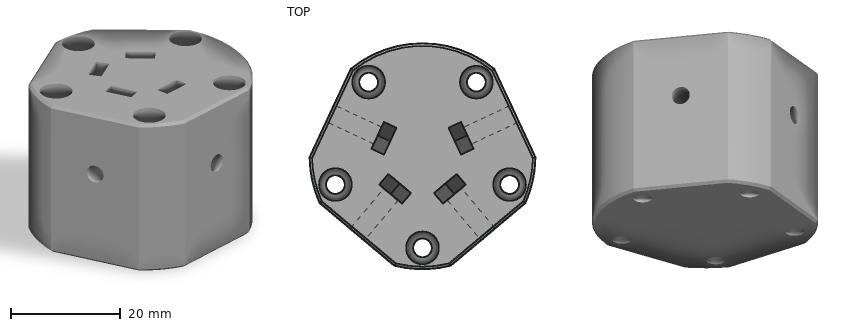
import cadquery as cq
import math

body_radius = 20.65
body_height = 30.0
edge_chamfer = 0.5
flat_distance = 18.63
flat_angles = (25, 155, -50, -130)

bolt_count = 5
bolt_circle_radius = 16.73
first_bolt_angle = -90
bolt_hole_diameter = 3.4
counterbore_diameter = 6.0
counterbore_depth = 3.0

screw_diameter = 3.4
screw_height = 18.0
nut_width = 5.4
nut_thickness = 2.5
nut_distance = 7.75
nut_floor_slope = 30


def make_body():
    """Round block cut by the flats, chamfered around both ends."""
    body = cq.Workplane("XY").circle(body_radius).extrude(body_height)
    for angle in flat_angles:
        waste = (
            cq.Workplane("XY")
            .box(body_radius, 2 * body_radius, body_height, centered=(False, True, False))
            .translate((flat_distance, 0, 0))
            .rotate((0, 0, 0), (0, 0, 1), angle)
        )
        body = body.cut(waste)
    return body.faces("<Z or >Z").chamfer(edge_chamfer)


def drill_bolt_holes(body):
    """Through holes, counterbored from the top face."""
    return (
        body.faces(">Z")
        .workplane(origin=(0, 0, body_height))
        .polarArray(bolt_circle_radius, first_bolt_angle, 360, bolt_count)
        .cboreHole(bolt_hole_diameter, counterbore_diameter, counterbore_depth)
    )


def make_nut_trap(angle):
    """Open-topped nut slot with a V floor, and the radial screw hole that meets it."""
    half_width = nut_width / 2
    floor_rise = half_width * math.tan(math.radians(nut_floor_slope))
    floor_tip = screw_height - 2 * floor_rise
    slot = (
        cq.Workplane("YZ", origin=(nut_distance - nut_thickness / 2, 0, 0))
        .moveTo(0, floor_tip)
        .lineTo(half_width, floor_tip + floor_rise)
        .lineTo(half_width, body_height)
        .lineTo(-half_width, body_height)
        .lineTo(-half_width, floor_tip + floor_rise)
        .close()
        .extrude(nut_thickness)
    )
    screw_hole = (
        cq.Workplane("YZ", origin=(nut_distance, 0, screw_height))
        .circle(screw_diameter / 2)
        .extrude(flat_distance - nut_distance)
    )
    return slot.union(screw_hole).rotate((0, 0, 0), (0, 0, 1), angle)


result = drill_bolt_holes(make_body())
for flat_angle in flat_angles:
    result = result.cut(make_nut_trap(flat_angle))